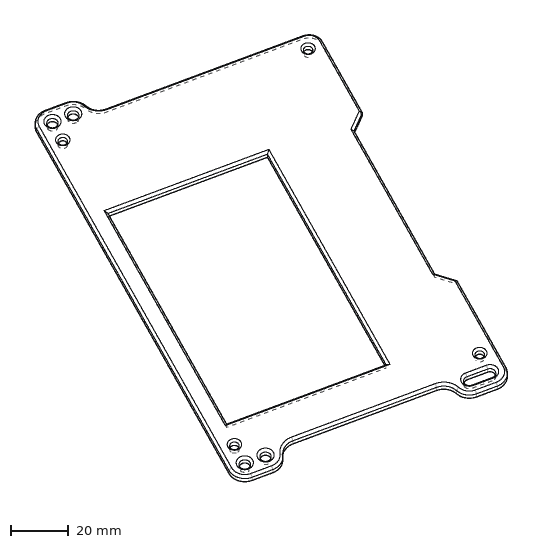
import cadquery as cq
import math

length = 172.0
width = 105.5
thickness = 3.0
edge_chamfer = 1.0
chamfer_angle = 45

body_half_length = 77.7
lobe_radius = 6.0
plain_corner_radius = 5.0

lobe_hole_diameter = 4.0
lobe_hole_pitch = 7.9
small_hole_diameter = 3.3
small_hole_chamfer = 0.9
small_hole_x = 71.4

notch_half_mouth = 39.4
notch_depth = 5.8

window_left = -37.0
window_right = 61.7
window_front = -45.2
window_back = 15.5

half_length = length / 2
half_width = width / 2
lobe_x = half_length - lobe_radius
outer_hole_y = half_width - lobe_radius
inner_hole_y = outer_hole_y - lobe_hole_pitch

blend_x = body_half_length + lobe_radius
blend_y = inner_hole_y - math.sqrt((2 * lobe_radius) ** 2 - (blend_x - lobe_x) ** 2)
joint_x = (lobe_x + blend_x) / 2
joint_y = (inner_hole_y + blend_y) / 2


def make_plate():
    """Plate with a chamfered top edge, outlined counterclockwise from the front left corner."""
    convex = lobe_radius
    concave = -lobe_radius
    notch_half_floor = notch_half_mouth - notch_depth
    notch_floor_y = half_width - notch_depth
    return (
        cq.Workplane("XY")
        .moveTo(-lobe_x, -half_width)
        .lineTo(lobe_x, -half_width)
        .radiusArc((half_length, -outer_hole_y), -convex)
        .lineTo(half_length, -inner_hole_y)
        .radiusArc((joint_x, -joint_y), -convex)
        .radiusArc((body_half_length, -blend_y), -concave)
        .lineTo(body_half_length, blend_y)
        .radiusArc((joint_x, joint_y), -concave)
        .radiusArc((half_length, inner_hole_y), -convex)
        .lineTo(half_length, outer_hole_y)
        .radiusArc((lobe_x, half_width), -convex)
        .lineTo(notch_half_mouth, half_width)
        .lineTo(notch_half_floor, notch_floor_y)
        .lineTo(-notch_half_floor, notch_floor_y)
        .lineTo(-notch_half_mouth, half_width)
        .lineTo(plain_corner_radius - body_half_length, half_width)
        .radiusArc((-body_half_length, half_width - plain_corner_radius), -plain_corner_radius)
        .lineTo(-body_half_length, -blend_y)
        .radiusArc((-joint_x, -joint_y), -concave)
        .radiusArc((-half_length, -inner_hole_y), -convex)
        .lineTo(-half_length, -outer_hole_y)
        .radiusArc((-lobe_x, -half_width), -convex)
        .close()
        .extrude(thickness)
        .faces(">Z")
        .chamfer(edge_chamfer)
    )


def cut_holes(plate, points, diameter, chamfer):
    """Through holes with a 45 degree countersink at the top."""
    return (
        plate.faces(">Z")
        .workplane(origin=(0, 0, thickness))
        .pushPoints(points)
        .cskHole(diameter, diameter + 2 * chamfer, 2 * chamfer_angle)
    )


def cut_opening(plate, x, y, draw_profile):
    """Opening through the plate at (x, y) with a chamfered top rim.

    draw_profile(workplane, margin) draws the opening, enlarged by margin on every side.
    """
    bottom = cq.Workplane("XY").center(x, y)
    top = cq.Workplane("XY", origin=(0, 0, thickness)).center(x, y)
    through = draw_profile(bottom, 0).extrude(thickness)
    rim = draw_profile(top, edge_chamfer).extrude(-edge_chamfer, taper=chamfer_angle)
    return plate.cut(through).cut(rim)


def cut_slot(plate):
    """Slot through the back right lobe, spanning the length of a pair of lobe holes."""

    def slot_profile(workplane, margin):
        slot_width = lobe_hole_diameter + 2 * margin
        return workplane.slot2D(lobe_hole_pitch + slot_width, slot_width, 90)

    return cut_opening(plate, lobe_x, (inner_hole_y + outer_hole_y) / 2, slot_profile)


def cut_window(plate):
    """Rectangular window."""
    window_length = window_right - window_left
    window_width = window_back - window_front

    def window_profile(workplane, margin):
        return workplane.rect(window_length + 2 * margin, window_width + 2 * margin)

    window_x = (window_left + window_right) / 2
    window_y = (window_front + window_back) / 2
    return cut_opening(plate, window_x, window_y, window_profile)


lobe_hole_points = [(side * lobe_x, -y) for side in (-1, 1) for y in (inner_hole_y, outer_hole_y)]
small_hole_points = [
    (x, y) for x in (-small_hole_x, small_hole_x) for y in (-outer_hole_y, outer_hole_y)
]

result = make_plate()
result = cut_window(result)
result = cut_slot(result)
result = cut_holes(result, lobe_hole_points, lobe_hole_diameter, edge_chamfer)
result = cut_holes(result, small_hole_points, small_hole_diameter, small_hole_chamfer)